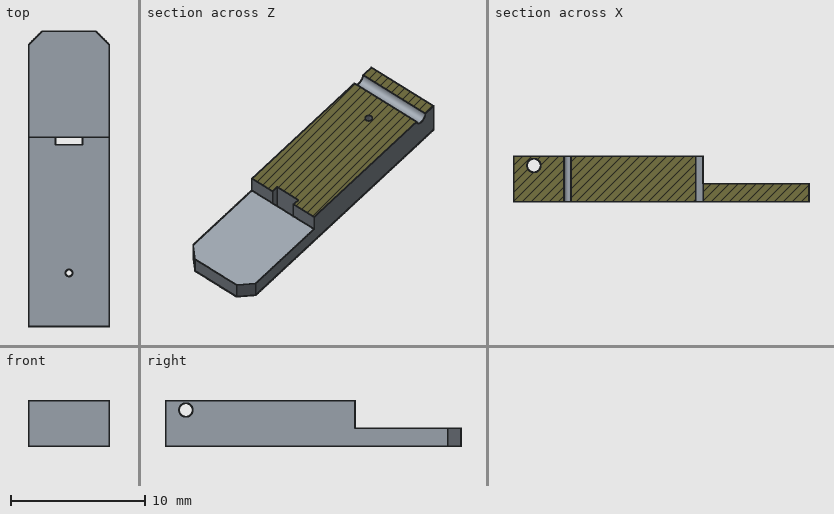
import cadquery as cq

width = 6.0
length = 22.0
height = 3.4

base_thickness = 1.35
corner_chamfer = 1.0

block_length = 14.1
block_height = height - base_thickness

notch_width = 2.0
notch_depth = 0.55

vertical_hole_diameter = 0.5
vertical_hole_y = 4.0

cross_hole_diameter = 1.0
cross_hole_y = 1.5
cross_hole_below_top = 0.7
cross_hole_z = height - cross_hole_below_top


def make_box(size_x, size_y, size_z, start_y=0, start_z=0):
    """Box centred on X that grows from start_y and start_z."""
    return (
        cq.Workplane("XY", origin=(0, start_y, start_z))
        .box(size_x, size_y, size_z, centered=(True, False, False))
    )


def make_base():
    plate = make_box(width, length, base_thickness)
    return plate.faces(">Y").edges("|Z").chamfer(corner_chamfer)


def make_block():
    return make_box(width, block_length, block_height, start_z=base_thickness)


def make_notch():
    return make_box(notch_width, notch_depth, height, start_y=block_length - notch_depth)


def make_vertical_hole():
    return (
        cq.Workplane("XY", origin=(0, vertical_hole_y, 0))
        .circle(vertical_hole_diameter / 2)
        .extrude(height)
    )


def make_cross_hole():
    return (
        cq.Workplane("YZ", origin=(-width / 2, cross_hole_y, cross_hole_z))
        .circle(cross_hole_diameter / 2)
        .extrude(width)
    )


result = (
    make_base()
    .union(make_block(), clean=False)
    .cut(make_notch(), clean=False)
    .cut(make_vertical_hole(), clean=False)
    .cut(make_cross_hole(), clean=False)
)